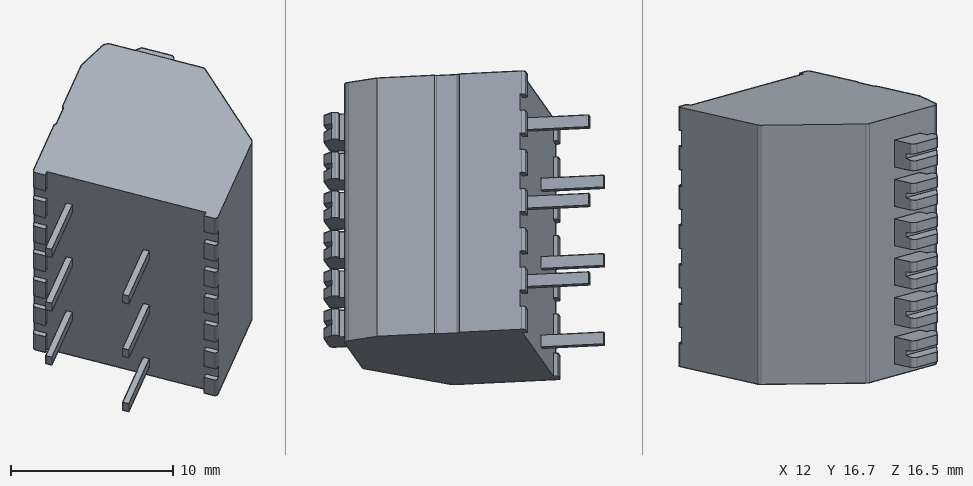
import cadquery as cq
import math

WIDTH = 12.0
HEIGHT = 16.5
PIN_TIP_Y = 0
FOOT_Y = 3.6
FLOOR_Y = 3.9
TOP_Y = 15.11
LEVER_TOP_Y = 16.7

LEAN_ANGLE = 20
LEAN_START_Y = 12.86
LEAN_ROUND = 0.5
SLOPE_START_X = 7.26
SLOPE_ROUND = 0.3

GROOVE_LOW_Y = 7.72
GROOVE_HIGH_Y = 9.29
GROOVE_DEPTH = 0.1
GROOVE_LOW_ROUND = 0.2
GROOVE_HIGH_ROUND = 0.13

POLES = 6
PITCH = 2.5
FOOT_WIDTH = 0.84
FOOT_ROUND = 0.2
FOOT_HEIGHT = HEIGHT - POLES * PITCH

PIN_THICKNESS = 0.4
PIN_HEIGHT = 0.75
PIN_START_Z = 0.78
PIN_ROOT = 0.33
NEAR_PIN_X = 2.09
PIN_COLUMN_SPACING = 2 * PITCH

LEVER_START_Z = 0.77
LEVER_HEIGHT = 1.7
LEVER_STEM_X = 2.49
LEVER_BACK_X = 4.83
LEVER_ROOT = 0.33
HOOK_OVERHANG = 0.45
HOOK_BOTTOM_Y = 15.7
HOOK_ROUND = 0.2
HOOK_CHAMFER = 0.6
LEVER_BACK_ROUND = 0.3
SLOT_DEPTH = 0.62
SLOT_MOUTH = 0.47
SLOT_BOTTOM = 0.27


def make_housing():
    """Extruded profile with both slopes, before the groove is cut."""
    lean_top_x = (TOP_Y - LEAN_START_Y) * math.tan(math.radians(LEAN_ANGLE))
    slope_end_y = TOP_Y - (WIDTH - SLOPE_START_X)
    body = (
        cq.Workplane("XY")
        .moveTo(0, FLOOR_Y)
        .lineTo(WIDTH, FLOOR_Y)
        .lineTo(WIDTH, slope_end_y)
        .lineTo(SLOPE_START_X, TOP_Y)
        .lineTo(lean_top_x, TOP_Y)
        .lineTo(0, LEAN_START_Y)
        .close()
        .extrude(HEIGHT)
    )
    middle = HEIGHT / 2
    body = body.edges(cq.NearestToPointSelector((lean_top_x, TOP_Y, middle))).fillet(LEAN_ROUND)
    for corner in [(SLOPE_START_X, TOP_Y, middle), (WIDTH, slope_end_y, middle)]:
        body = body.edges(cq.NearestToPointSelector(corner)).fillet(SLOPE_ROUND)
    return body


def groove_round(edge_y, radius, direction):
    """Middle and floor points of the concave round that meets the -X wall at edge_y."""
    sweep = math.acos(1 - GROOVE_DEPTH / radius)
    tangent_y = edge_y + direction * radius * math.sin(sweep)
    middle = (
        GROOVE_DEPTH - radius * (1 - math.cos(sweep / 2)),
        tangent_y - direction * radius * math.sin(sweep / 2),
    )
    return middle, (GROOVE_DEPTH, tangent_y)


def make_groove():
    """Cutter for the shallow groove, with a concave round at each end of its floor."""
    low_middle, low_floor = groove_round(GROOVE_LOW_Y, GROOVE_LOW_ROUND, 1)
    high_middle, high_floor = groove_round(GROOVE_HIGH_Y, GROOVE_HIGH_ROUND, -1)
    return (
        cq.Workplane("XY")
        .moveTo(0, GROOVE_LOW_Y)
        .threePointArc(low_middle, low_floor)
        .lineTo(*high_floor)
        .threePointArc(high_middle, (0, GROOVE_HIGH_Y))
        .close()
        .extrude(HEIGHT)
    )


def make_foot(start_x, outer_side):
    """Foot under one side wall, rounded along its outer lower edge."""
    foot_rise = FLOOR_Y - FOOT_Y
    return (
        cq.Workplane("XY")
        .box(FOOT_WIDTH, foot_rise, FOOT_HEIGHT, centered=False)
        .edges(f"{outer_side}X and <Y")
        .fillet(FOOT_ROUND)
        .translate((start_x, FOOT_Y, 0))
    )


def make_pin(start_x):
    """Straight rectangular solder pin."""
    length = FLOOR_Y + PIN_ROOT - PIN_TIP_Y
    return (
        cq.Workplane("XY")
        .box(PIN_THICKNESS, length, PIN_HEIGHT, centered=False)
        .translate((start_x, PIN_TIP_Y, PIN_START_Z))
    )


def make_lever():
    """Hooked release lever with a tapered screwdriver slot across its top."""
    hook_x = LEVER_STEM_X - HOOK_OVERHANG
    lever = (
        cq.Workplane("XY")
        .moveTo(LEVER_STEM_X, TOP_Y - LEVER_ROOT)
        .lineTo(LEVER_BACK_X, TOP_Y - LEVER_ROOT)
        .lineTo(LEVER_BACK_X, LEVER_TOP_Y)
        .lineTo(hook_x + HOOK_CHAMFER, LEVER_TOP_Y)
        .lineTo(hook_x, LEVER_TOP_Y - HOOK_CHAMFER)
        .lineTo(hook_x, HOOK_BOTTOM_Y)
        .lineTo(LEVER_STEM_X, HOOK_BOTTOM_Y)
        .close()
        .extrude(LEVER_HEIGHT)
        .edges("|Z and >X and >Y").fillet(LEVER_BACK_ROUND)
    )
    middle = LEVER_HEIGHT / 2
    hook_edge = cq.NearestToPointSelector((hook_x, HOOK_BOTTOM_Y, middle))
    lever = lever.edges(hook_edge).fillet(HOOK_ROUND)
    slot = (
        cq.Workplane("YZ")
        .moveTo(LEVER_TOP_Y, middle - SLOT_MOUTH / 2)
        .lineTo(LEVER_TOP_Y, middle + SLOT_MOUTH / 2)
        .lineTo(LEVER_TOP_Y - SLOT_DEPTH, middle + SLOT_BOTTOM / 2)
        .lineTo(LEVER_TOP_Y - SLOT_DEPTH, middle - SLOT_BOTTOM / 2)
        .close()
        .extrude(WIDTH)
    )
    return lever.cut(slot).translate((0, 0, LEVER_START_Z))


result = make_housing().cut(make_groove())

near_foot = make_foot(0, "<")
far_foot = make_foot(WIDTH - FOOT_WIDTH, ">")
for index in range(POLES + 1):
    offset = (0, 0, index * PITCH)
    result = result.union(near_foot.translate(offset)).union(far_foot.translate(offset))

lever = make_lever()
near_pin = make_pin(NEAR_PIN_X)
far_pin = make_pin(NEAR_PIN_X + PIN_COLUMN_SPACING)
for index in range(POLES):
    offset = (0, 0, index * PITCH)
    pin = far_pin if index % 2 == 0 else near_pin
    result = result.union(lever.translate(offset)).union(pin.translate(offset))